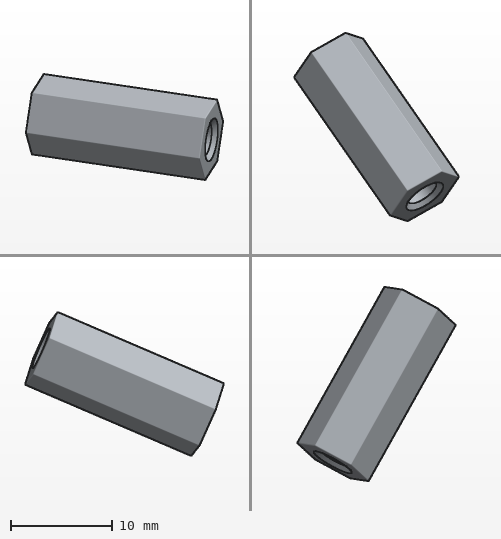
import cadquery as cq
import math

length = 18.0
across_flats = 7.0
edge_radius = 0.1

bore_diameter = 3.31
countersink_diameter = 4.3
countersink_depth = (countersink_diameter - bore_diameter) / 2


def hexagonal_bar():
    """Hexagonal bar centred on the origin, with all its edges rounded."""
    across_corners = across_flats / math.cos(math.pi / 6)
    bar = cq.Workplane("YZ").polygon(6, across_corners).extrude(length / 2, both=True)
    return bar.edges().fillet(edge_radius)


def countersunk_bore():
    """Solid of revolution about X that is removed to leave the bore."""
    half_length = length / 2
    bore_radius = bore_diameter / 2
    mouth_radius = countersink_diameter / 2
    cone_end = half_length - countersink_depth
    profile = [
        (-half_length, 0),
        (-half_length, mouth_radius),
        (-cone_end, bore_radius),
        (cone_end, bore_radius),
        (half_length, mouth_radius),
        (half_length, 0),
    ]
    return cq.Workplane("XY").polyline(profile).close().revolve(360, (0, 0, 0), (1, 0, 0))


result = hexagonal_bar().cut(countersunk_bore())